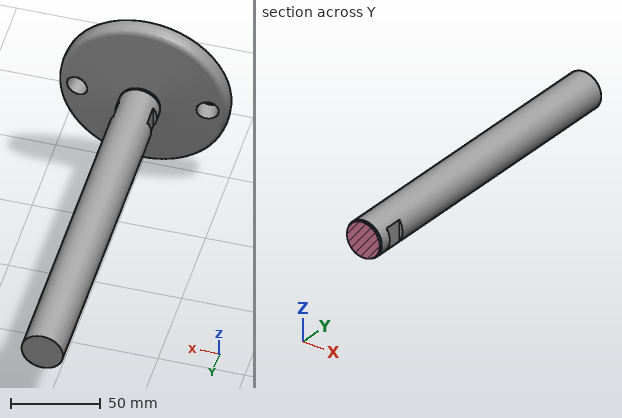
import cadquery as cq
import math

total_length = 222.0
stem_diameter = 24.0
base_diameter = 98.0

bottom_draft = 0.5
top_draft = 0.7
rim_widest_y = 4.0
cone_angle = 9.7
cone_top_y = 15.5
shoulder_radius = 3.0

neck_radius = 11.5
stem_start_y = 16.9

flat_distance = 19.5
flat_start_y = 24.2
flat_length = 12.0

hole_diameter = 12.5
hole_offset = 35.7

stem_radius = stem_diameter / 2
base_radius = base_diameter / 2
bottom_radius = base_radius - bottom_draft
corner_radius = base_radius - top_draft
cone_slope = math.tan(math.radians(cone_angle))


def make_base():
    """Revolve the foot about the Y axis, then round its shoulder between rim and cone."""
    corner_y = cone_top_y - (corner_radius - stem_radius) * cone_slope
    foot = (
        cq.Workplane("XY")
        .lineTo(bottom_radius, 0)
        .lineTo(base_radius, rim_widest_y)
        .lineTo(corner_radius, corner_y)
        .lineTo(stem_radius, cone_top_y)
        .lineTo(0, cone_top_y)
        .close()
        .revolve(360, (0, 0), (0, 1))
    )
    corner_edge = cq.selectors.RadiusNthSelector(-3)
    return foot.edges("%CIRCLE").edges(corner_edge).fillet(shoulder_radius)


def cylinder(radius, start_y, end_y):
    """Solid cylinder on the Y axis."""
    return cq.Workplane(
        cq.Solid.makeCylinder(radius, end_y - start_y, cq.Vector(0, start_y, 0), cq.Vector(0, 1, 0))
    )


def flat_cutter(side):
    """Block that cuts one wrench flat; side is -1 or 1."""
    depth = stem_radius
    center_x = side * (flat_distance + depth) / 2
    center_y = flat_start_y + flat_length / 2
    return cq.Workplane("XY").box(depth, flat_length, stem_diameter).translate((center_x, center_y, 0))


def hole_cutter(side):
    """Tilted drill through the base, leaning outward along the cone normal."""
    reach = cone_top_y
    axis = cq.Vector(side * math.sin(math.radians(cone_angle)), math.cos(math.radians(cone_angle)), 0)
    start = cq.Vector(side * hole_offset, 0, 0) - axis * reach
    return cq.Workplane(cq.Solid.makeCylinder(hole_diameter / 2, 2 * reach, start, axis))


result = make_base()
result = result.union(cylinder(neck_radius, 0, stem_start_y))
result = result.union(cylinder(stem_radius, stem_start_y, total_length))
for side in (-1, 1):
    result = result.cut(flat_cutter(side))
    result = result.cut(hole_cutter(side))